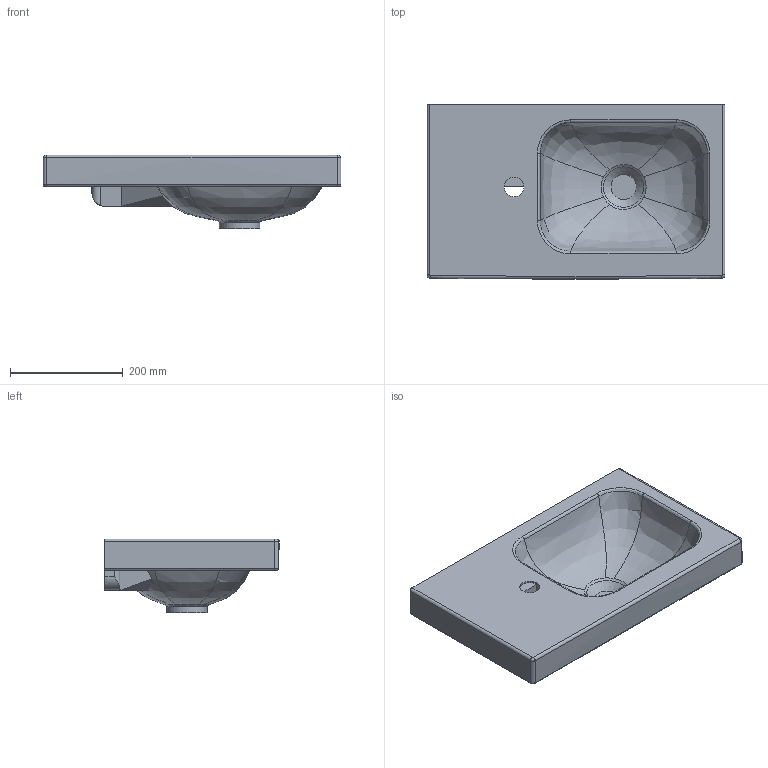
import cadquery as cq
import math


WIDTH = 529.32
CORNER_DEPTH = 308.44
TOTAL_HEIGHT = 131.16
SLAB_HEIGHT = 55.0
FRONT_BULGE = 1.74
FRONT_BULGE_BOTTOM = 0.2
CORNER_RADIUS = 6.0
DECK_EDGE_RADIUS = 5.0
UNDERSIDE_EDGE_RADIUS = 2.0

BOWL_X = 84.6
BOWL_Y = -146.0
RIM_HALF_X = 149.0
RIM_HALF_Y = 115.0
RIM_RADIUS = 55.0
LIP_RADIUS = 4.9

DRAIN_RING_RADIUS = 40.0
DRAIN_TOP_RADIUS = 36.0
DRAIN_FLOOR_RADIUS = 22.5
COLLAR_RADIUS = 36.0
COLLAR_NECK_HEIGHT = 3.5
DRAIN_RING_Z = -106.0
DRAIN_TOP_Z = -109.0
DRAIN_FLOOR_Z = -122.0
BOWL_BOTTOM_Z = -116.5
SIDE_SEAM_ANGLE = 27.0
END_SEAM_ANGLE = 50.0

OUTSIDE_SECTIONS = [
    (-35.0, 153.0, 119.0, 0.0),
    (-SLAB_HEIGHT, 147.0, 112.0, 0.1),
    (-72.0, 137.0, 104.0, 0.25),
    (-91.0, 119.0, 89.5, 0.45),
    (-106.0, 90.0, 68.0, 0.75),
    (BOWL_BOTTOM_Z, DRAIN_RING_RADIUS, DRAIN_RING_RADIUS, 1.0),
]
INSIDE_SECTIONS = [
    (0.0, RIM_HALF_X, RIM_HALF_Y, 0.0),
    (-30.0, 144.0, 110.0, 0.1),
    (-60.0, 131.0, 99.0, 0.3),
    (-82.0, 108.0, 83.0, 0.55),
    (-97.0, 73.0, 60.0, 0.8),
    (DRAIN_RING_Z, DRAIN_RING_RADIUS, DRAIN_RING_RADIUS, 1.0),
]

TAP_X = -110.0
TAP_Y = BOWL_Y
TAP_DIAMETER = 35.0
TAP_FLOOR_DEPTH = 3.0

HOUSING_LEFT_X = -178.0
HOUSING_RIGHT_X = BOWL_X
HOUSING_BOTTOM_Z = -91.0
HOUSING_SIDE_DEPTH = 17.0
HOUSING_BEND = (-125.0, -27.0)
HOUSING_BOWL_END = (0.0, -119.0)
HOUSING_CORNER_X = -163.0
HOUSING_CORNER_Y = -25.5
HOUSING_EDGE_RADIUS = 24.0
BEVEL_RISE_PER_MM = 0.21

OVERLAP = 10.0
EDGE_MARGIN = 1.0


def slab_outline(plane_z, bulge):
    """Plan outline of the slab with rounded front corners and a bowed front edge."""
    corner_y = -CORNER_DEPTH
    half = WIDTH / 2
    inset = CORNER_RADIUS * (1 - math.sqrt(0.5))
    return (
        cq.Workplane("XY", origin=(0, 0, plane_z))
        .moveTo(-half, 0)
        .lineTo(-half, corner_y + CORNER_RADIUS)
        .threePointArc((-half + inset, corner_y + inset), (-half + CORNER_RADIUS, corner_y))
        .threePointArc((0, corner_y - bulge), (half - CORNER_RADIUS, corner_y))
        .threePointArc((half - inset, corner_y + inset), (half, corner_y + CORNER_RADIUS))
        .lineTo(half, 0)
        .close()
        .val()
    )


def make_slab():
    outlines = [
        slab_outline(-SLAB_HEIGHT, FRONT_BULGE_BOTTOM),
        slab_outline(0, FRONT_BULGE),
    ]
    slab = cq.Workplane(obj=cq.Solid.makeLoft(outlines, True))
    slab = slab.faces(">Z").edges("not >Y").fillet(DECK_EDGE_RADIUS)
    return slab.faces("<Z").edges("not >Y").fillet(UNDERSIDE_EDGE_RADIUS)


def polar(angle):
    return math.cos(math.radians(angle)), math.sin(math.radians(angle))


def corner_points(half_x, half_y, roundness):
    """Start, middle and end of one corner of a bowl section.

    Roundness 0 gives the rounded rectangle of the rim, 1 gives an ellipse.
    """
    radius_x = RIM_RADIUS / RIM_HALF_X
    radius_y = RIM_RADIUS / RIM_HALF_Y
    diagonal = 1 - math.sqrt(0.5)
    rectangle = (
        (1, 1 - radius_y),
        (1 - radius_x * diagonal, 1 - radius_y * diagonal),
        (1 - radius_x, 1),
    )
    middle_angle = (SIDE_SEAM_ANGLE + END_SEAM_ANGLE) / 2
    circle = [polar(a) for a in (SIDE_SEAM_ANGLE, middle_angle, END_SEAM_ANGLE)]

    def blend(first, second):
        return first + (second - first) * roundness

    return [
        (half_x * blend(r[0], c[0]), half_y * blend(r[1], c[1]))
        for r, c in zip(rectangle, circle)
    ]


def bowl_section(z, half_x, half_y, roundness):
    """Closed section of four sides, straight or bowed, and four corner arcs."""
    start, middle, end = corner_points(half_x, half_y, roundness)

    def place(point, sign_x, sign_y):
        return cq.Vector(BOWL_X + sign_x * point[0], BOWL_Y + sign_y * point[1], z)

    def side(first, through, last):
        if roundness == 0:
            return cq.Edge.makeLine(first, last)
        return cq.Edge.makeThreePointArc(first, through, last)

    def corner(first, last, sign_x, sign_y):
        return cq.Edge.makeThreePointArc(
            place(first, sign_x, sign_y), place(middle, sign_x, sign_y), place(last, sign_x, sign_y))

    edges = [
        side(place(start, 1, -1), place((half_x, 0), 1, 1), place(start, 1, 1)),
        corner(start, end, 1, 1),
        side(place(end, 1, 1), place((0, half_y), 1, 1), place(end, -1, 1)),
        corner(end, start, -1, 1),
        side(place(start, -1, 1), place((half_x, 0), -1, 1), place(start, -1, -1)),
        corner(start, end, -1, -1),
        side(place(end, -1, -1), place((0, half_y), 1, -1), place(end, 1, -1)),
        corner(end, start, 1, -1),
    ]
    return cq.Wire.assembleEdges(edges)


def loft_bowl(sections):
    return cq.Workplane(obj=cq.Solid.makeLoft([bowl_section(*s) for s in sections]))


def revolve_at_drain(profile):
    """Turn a closed (radius, Z) profile about the vertical drain axis."""
    return (
        cq.Workplane("XZ")
        .polyline(profile)
        .close()
        .revolve(360, (0, 0, 0), (0, 1, 0))
        .translate((BOWL_X, BOWL_Y, 0))
    )


def make_collar():
    """Drain collar with a flared neck where it joins the bowl."""
    return revolve_at_drain([
        (0, -TOTAL_HEIGHT),
        (COLLAR_RADIUS, -TOTAL_HEIGHT),
        (COLLAR_RADIUS, BOWL_BOTTOM_Z - COLLAR_NECK_HEIGHT),
        (DRAIN_RING_RADIUS, BOWL_BOTTOM_Z),
        (0, BOWL_BOTTOM_Z),
    ])


def make_drain():
    """Recess below the bowl: a narrow ring step and a cone with a flat floor."""
    return revolve_at_drain([
        (0, DRAIN_FLOOR_Z),
        (DRAIN_FLOOR_RADIUS, DRAIN_FLOOR_Z),
        (DRAIN_TOP_RADIUS, DRAIN_TOP_Z),
        (DRAIN_RING_RADIUS, DRAIN_RING_Z),
        (0, DRAIN_RING_Z),
    ])


def make_housing():
    height = -SLAB_HEIGHT - HOUSING_BOTTOM_Z + OVERLAP
    body = (
        cq.Workplane("XY", origin=(0, 0, HOUSING_BOTTOM_Z))
        .moveTo(HOUSING_LEFT_X, 0)
        .lineTo(HOUSING_LEFT_X, -HOUSING_SIDE_DEPTH)
        .tangentArcPoint((HOUSING_CORNER_X, HOUSING_CORNER_Y), relative=False)
        .lineTo(*HOUSING_BEND)
        .lineTo(*HOUSING_BOWL_END)
        .lineTo(HOUSING_RIGHT_X, HOUSING_BOWL_END[1])
        .lineTo(HOUSING_RIGHT_X, 0)
        .close()
        .extrude(height)
    )
    end_rounding = (
        cq.Workplane("XZ")
        .moveTo(HOUSING_LEFT_X, HOUSING_BOTTOM_Z)
        .lineTo(HOUSING_LEFT_X + HOUSING_EDGE_RADIUS, HOUSING_BOTTOM_Z)
        .radiusArc((HOUSING_LEFT_X, HOUSING_BOTTOM_Z + HOUSING_EDGE_RADIUS), HOUSING_EDGE_RADIUS)
        .close()
        .extrude(CORNER_DEPTH)
    )
    return body.cut(end_rounding).cut(make_housing_bevel())


def make_housing_bevel():
    """Wedge that bevels the lower edge of the slanted wall, growing toward the bowl."""
    run_x = HOUSING_BOWL_END[0] - HOUSING_BEND[0]
    run_y = HOUSING_BOWL_END[1] - HOUSING_BEND[1]
    length = math.hypot(run_x, run_y)
    size = BEVEL_RISE_PER_MM * length
    wall_plane = cq.Plane(
        origin=(*HOUSING_BOWL_END, HOUSING_BOTTOM_Z),
        xDir=(run_y / length, -run_x / length, 0),
        normal=(-run_x / length, -run_y / length, 0),
    )
    end = [(0, 0), (-size, 0), (0, size)]
    corners = [wall_plane.toWorldCoords(p) for p in end]
    apex = cq.Vector(*HOUSING_BEND, HOUSING_BOTTOM_Z)
    rings = [corners] + [[apex, corners[i], corners[(i + 1) % 3]] for i in range(3)]
    faces = [cq.Face.makeFromWires(cq.Wire.makePolygon(r, close=True)) for r in rings]
    return cq.Workplane(obj=cq.Solid.makeSolid(cq.Shell.makeShell(faces)))


def make_tap_hole():
    through = (
        cq.Workplane("XY", origin=(TAP_X, TAP_Y, -SLAB_HEIGHT))
        .circle(TAP_DIAMETER / 2)
        .extrude(SLAB_HEIGHT)
    )
    rear_floor = (
        cq.Workplane("XY", origin=(TAP_X, TAP_Y + TAP_DIAMETER / 2, -SLAB_HEIGHT))
        .rect(TAP_DIAMETER, TAP_DIAMETER)
        .extrude(SLAB_HEIGHT - TAP_FLOOR_DEPTH)
    )
    return through.cut(rear_floor)


def round_lip(basin):
    """Round the edge where the bowl meets the deck."""
    reach_x = RIM_HALF_X + EDGE_MARGIN
    reach_y = RIM_HALF_Y + EDGE_MARGIN
    rim_edges = cq.selectors.BoxSelector(
        (BOWL_X - reach_x, BOWL_Y - reach_y, -EDGE_MARGIN),
        (BOWL_X + reach_x, BOWL_Y + reach_y, EDGE_MARGIN),
        boundingbox=True,
    )
    return basin.edges(rim_edges).fillet(LIP_RADIUS)


bowl_outside = loft_bowl(OUTSIDE_SECTIONS)
bowl_inside = loft_bowl(INSIDE_SECTIONS)
basin = make_slab().union(bowl_outside).union(make_collar()).union(make_housing())
basin = round_lip(basin.cut(bowl_inside))
result = basin.cut(make_drain()).cut(make_tap_hole())